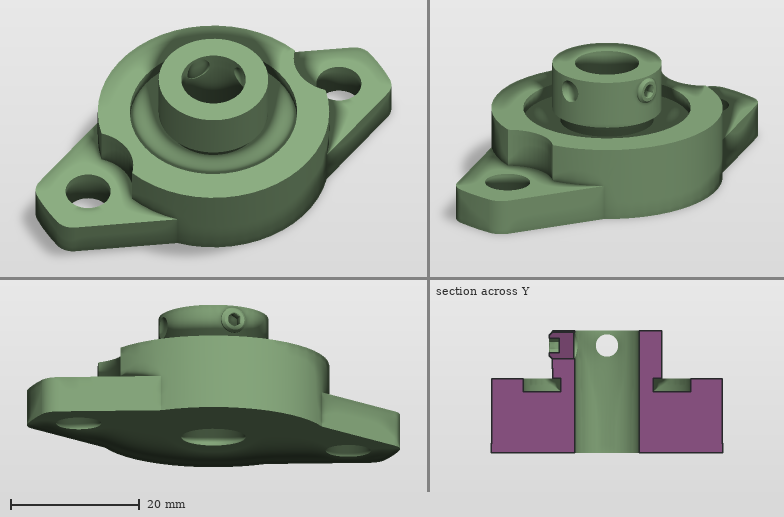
import cadquery as cq
import math

length = 59.95
body_diameter = 36.0
body_height = 11.5
total_height = 19.0
flange_thickness = 5.5

ear_tip_half_width = 4.7
ear_root_half_width = 12.0
ear_corner_radius = 3.0
mount_hole_diameter = 7.0
mount_hole_offset = 22.5
bolt_head_relief_diameter = 2 * mount_hole_diameter

recess_diameter = 26.0
recess_depth = 2.0
neck_diameter = 14.5
collar_diameter = 17.0
bore_diameter = 10.0

screw_diameter = 4.0
screw_face_diameter = 3.25
screw_chamfer = (screw_diameter - screw_face_diameter) / 2
screw_axis_height = 16.65
screw_outer_reach = 9.0
screw_inner_reach = 5.1
socket_across_flats = 1.9
socket_depth = 1.5
open_hole_diameter = 3.5


def cylinder(diameter, bottom, top):
    """Upright cylinder on the bearing axis."""
    return cq.Workplane("XY").workplane(offset=bottom).circle(diameter / 2).extrude(top - bottom)


def make_flange():
    """Tapered two-ear plate whose tips follow a circle spanning the full length."""
    tip_y = length / 2
    root_y = math.sqrt((body_diameter / 2) ** 2 - ear_root_half_width ** 2)
    plate = (
        cq.Workplane("XY")
        .moveTo(-ear_tip_half_width, tip_y)
        .lineTo(ear_tip_half_width, tip_y)
        .lineTo(ear_root_half_width, root_y)
        .lineTo(ear_root_half_width, -root_y)
        .lineTo(ear_tip_half_width, -tip_y)
        .lineTo(-ear_tip_half_width, -tip_y)
        .lineTo(-ear_root_half_width, -root_y)
        .lineTo(-ear_root_half_width, root_y)
        .close()
        .extrude(flange_thickness)
    )
    rounded_plate = plate.intersect(cylinder(length, 0, flange_thickness))
    tip_corners = rounded_plate.edges("|Z").filter(lambda edge: abs(edge.Center().y) > mount_hole_offset)
    return tip_corners.fillet(ear_corner_radius)


def at_mount_holes(diameter, bottom, top):
    """Two upright cylinders on the mounting-hole axes."""
    places = [(0, -mount_hole_offset), (0, mount_hole_offset)]
    plane = cq.Workplane("XY").workplane(offset=bottom)
    return plane.pushPoints(places).circle(diameter / 2).extrude(top - bottom)


def make_body():
    """Round body with a bolt-head relief at each ear and a recess in its top."""
    body = cylinder(body_diameter, 0, body_height)
    reliefs = at_mount_holes(bolt_head_relief_diameter, flange_thickness, body_height)
    recess = cylinder(recess_diameter, body_height - recess_depth, body_height)
    return body.cut(reliefs).cut(recess)


def make_screw_hole():
    """Radial hole on the -X side, from the bore outward, that fits the set screw."""
    plane = cq.Workplane("YZ").center(0, screw_axis_height)
    return plane.circle(screw_diameter / 2).extrude(-collar_diameter)


def make_open_hole():
    """Empty radial hole on the +Y side, from the bore outward."""
    plane = cq.Workplane("XZ").center(0, screw_axis_height)
    return plane.circle(open_hole_diameter / 2).extrude(-collar_diameter)


def make_bearing_unit():
    """Flange, body, neck and collar in one, with all their holes."""
    neck = cylinder(neck_diameter, body_height - recess_depth, body_height)
    collar = cylinder(collar_diameter, body_height, total_height)
    solid = make_flange().union(make_body()).union(neck).union(collar)
    return (
        solid.cut(cylinder(bore_diameter, 0, total_height))
        .cut(at_mount_holes(mount_hole_diameter, 0, flange_thickness))
        .cut(make_screw_hole())
        .cut(make_open_hole())
    )


def make_set_screw():
    """Headless screw along X with a chamfered outer face and a countersunk hex socket."""
    socket_corner_diameter = socket_across_flats / math.cos(math.radians(30))
    shank = (
        cq.Workplane("YZ", origin=(-screw_inner_reach, 0, screw_axis_height))
        .circle(screw_diameter / 2)
        .extrude(screw_inner_reach - screw_outer_reach)
        .faces("<X")
        .chamfer(screw_chamfer)
    )
    socket = (
        cq.Workplane("YZ", origin=(-screw_outer_reach, 0, screw_axis_height))
        .transformed(rotate=(0, 0, 30))
        .polygon(6, socket_corner_diameter)
        .extrude(socket_depth)
    )
    countersink_depth = (socket_corner_diameter - socket_across_flats) / 2
    countersink = cq.Workplane(
        cq.Solid.makeCone(
            socket_corner_diameter / 2,
            socket_across_flats / 2,
            countersink_depth,
            cq.Vector(-screw_outer_reach, 0, screw_axis_height),
            cq.Vector(1, 0, 0),
        )
    )
    return shank.cut(socket).cut(countersink)


bearing_unit = make_bearing_unit()
set_screw = make_set_screw()

result = cq.Compound.makeCompound([bearing_unit.solids().val(), set_screw.solids().val()])